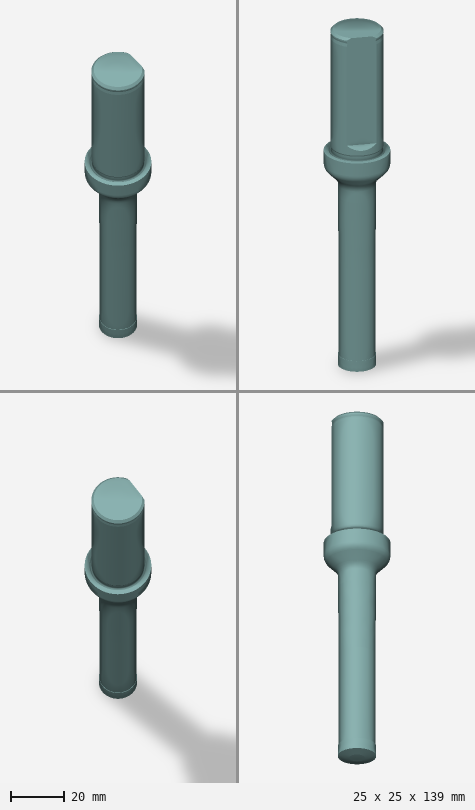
import cadquery as cq
import math

total_length = 139.0
shank_length = 50.0
collar_top = total_length - shank_length
collar_rim_bottom = 83.6
stem_taper_top = 70.3
stem_taper_bottom = 42.7
tip_height = 5.0

shank_radius = 19.99 / 2
undercut_radius = 19.5 / 2
collar_radius = 25.0 / 2
neck_radius = 14.23 / 2
stem_radius = 13.9 / 2

tip_top_radius = neck_radius
tip_corner_radius = 14.4 / 2
tip_corner_height = 0.7
point_flat_radius = 3.0

cone_angle = math.radians(45)
rim_round = 3.6
throat_round = 4.0

end_chamfer_height = 0.9
end_chamfer_width = 0.9
ring_groove_top = 1.35
ring_groove_middle = 2.1
ring_groove_bottom = 3.4
ring_groove_depth = 0.2

undercut_ramp_bottom = 1.55
undercut_ramp_top = 2.1
undercut_round = 0.4
undercut_floor_depth = 0.3
undercut_floor_radius = 10.3
undercut_rim_radius = 10.7

flat_offset = 8.2
flat_bottom = 94.8
cut_margin = 2.0


def turned(outline):
    """Revolve a half outline, drawn as radius and height, about the Z axis."""
    return outline.close().revolve(360, (0, 0, 0), (0, 1, 0))


def make_holder_blank():
    """Turned holder: stem, neck, collar and shank."""
    rim_drop = rim_round * math.sin(cone_angle)
    rim_inset = rim_round * (1 - math.cos(cone_angle))
    throat_rise = throat_round * math.sin(cone_angle)
    throat_outset = throat_round * (1 - math.cos(cone_angle))

    cone_top_radius = collar_radius - rim_inset
    cone_top = collar_rim_bottom - rim_drop
    cone_bottom_radius = neck_radius + throat_outset
    cone_bottom = cone_top - (cone_top_radius - cone_bottom_radius) / math.tan(cone_angle)
    neck_top = cone_bottom - throat_rise

    undercut_floor = collar_top - undercut_floor_depth
    outline = (
        cq.Workplane("XZ")
        .moveTo(0, tip_height)
        .lineTo(stem_radius, tip_height)
        .lineTo(stem_radius, stem_taper_bottom)
        .lineTo(neck_radius, stem_taper_top)
        .lineTo(neck_radius, neck_top)
        .tangentArcPoint((cone_bottom_radius, cone_bottom), relative=False)
        .lineTo(cone_top_radius, cone_top)
        .tangentArcPoint((collar_radius, collar_rim_bottom), relative=False)
        .lineTo(collar_radius, collar_top)
        .lineTo(undercut_rim_radius, collar_top)
        .lineTo(undercut_floor_radius, undercut_floor)
        .lineTo(undercut_radius + undercut_round, undercut_floor)
        .tangentArcPoint((undercut_radius, undercut_floor + undercut_round), relative=False)
        .lineTo(undercut_radius, collar_top + undercut_ramp_bottom)
        .lineTo(shank_radius, collar_top + undercut_ramp_top)
        .lineTo(shank_radius, total_length - ring_groove_bottom)
        .lineTo(shank_radius - ring_groove_depth, total_length - ring_groove_middle)
        .lineTo(shank_radius, total_length - ring_groove_top)
        .lineTo(shank_radius, total_length - end_chamfer_height)
        .lineTo(shank_radius - end_chamfer_width, total_length)
        .lineTo(0, total_length)
    )
    return turned(outline)


def make_clamping_cut():
    """Material beyond the clamping flat, with its 45 degree run-out."""
    outer = shank_radius + cut_margin
    above = total_length + cut_margin
    return (
        cq.Workplane("YZ")
        .moveTo(flat_offset, above)
        .lineTo(flat_offset, flat_bottom)
        .lineTo(outer, flat_bottom - (outer - flat_offset))
        .lineTo(outer, above)
        .close()
        .extrude(shank_radius, both=True)
    )


def make_tip():
    """Drill tip: near-cylindrical wall and a shallow, flat-nosed point."""
    outline = (
        cq.Workplane("YZ")
        .lineTo(point_flat_radius, 0)
        .lineTo(tip_corner_radius, tip_corner_height)
        .lineTo(tip_top_radius, tip_height)
        .lineTo(0, tip_height)
    )
    return turned(outline)


holder = make_holder_blank().cut(make_clamping_cut())
tip = make_tip()

result = cq.Compound.makeCompound([holder.val(), tip.val()])